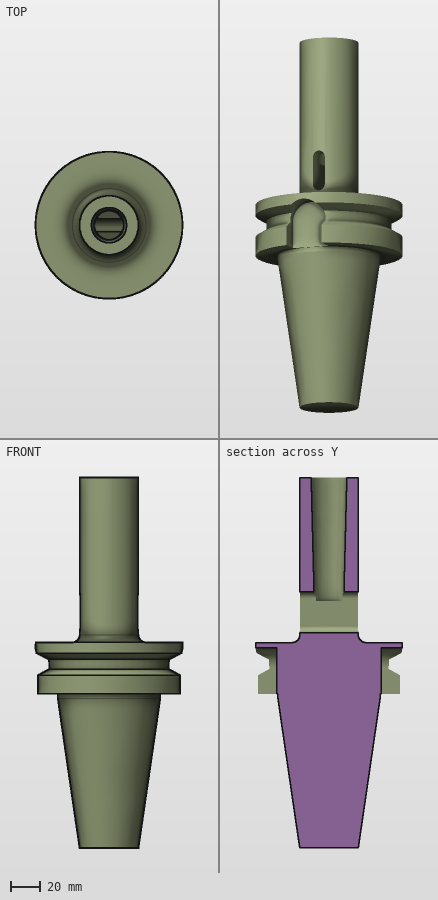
import cadquery as cq

total_height = 251.8
gauge_height = 101.7
flange_bottom = 104.7
flange_top = 139.7
groove_center = 125.0

gauge_radius = 69.7 / 2
taper_ratio = 7 / 24
small_end_radius = gauge_radius - gauge_height * taper_ratio / 2

flange_radius = 100.0 / 2
groove_radius = 42.5
groove_floor_width = 6.5
groove_mouth_width = 15.0

drive_slot_width = 25.7
drive_slot_top = 135.7
drive_slot_floor = 35.5

post_radius = 40.0 / 2
post_fillet = 5
socket_mouth_radius = 24.0 / 2
socket_depth = 84.0
socket_taper_ratio = 0.05
socket_floor_radius = socket_mouth_radius - socket_depth * socket_taper_ratio / 2
eject_slot_width = 8.5
eject_slot_bottom = 146.5
eject_slot_top = 174.0


def turned_body():
    """Shank, grooved flange and post revolved about Z."""
    profile = (
        cq.Workplane("XZ")
        .moveTo(0, 0)
        .lineTo(small_end_radius, 0)
        .lineTo(gauge_radius, gauge_height)
        .lineTo(gauge_radius, flange_bottom)
        .lineTo(flange_radius, flange_bottom)
        .lineTo(flange_radius, groove_center - groove_mouth_width / 2)
        .lineTo(groove_radius, groove_center - groove_floor_width / 2)
        .lineTo(groove_radius, groove_center + groove_floor_width / 2)
        .lineTo(flange_radius, groove_center + groove_mouth_width / 2)
        .lineTo(flange_radius, flange_top)
        .lineTo(post_radius + post_fillet, flange_top)
        .radiusArc((post_radius, flange_top + post_fillet), post_fillet)
        .lineTo(post_radius, total_height)
        .lineTo(0, total_height)
        .close()
    )
    return profile.revolve(360, (0, 0, 0), (0, 1, 0))


def socket():
    """Tapered bore that opens at the top of the post."""
    return (
        cq.Workplane("XY", origin=(0, 0, total_height))
        .circle(socket_mouth_radius)
        .workplane(offset=-socket_depth)
        .circle(socket_floor_radius)
        .loft(ruled=True)
    )


def eject_slot():
    """Upright round-ended slot through the post along X."""
    return (
        cq.Workplane("YZ")
        .center(0, (eject_slot_bottom + eject_slot_top) / 2)
        .slot2D(eject_slot_top - eject_slot_bottom, eject_slot_width, 90)
        .extrude(post_radius + post_fillet, both=True)
    )


def drive_slot(side):
    """Round-topped slot with a flat floor, open at the flange bottom; side is +1 or -1 along X."""
    half_width = drive_slot_width / 2
    arch_start = drive_slot_top - half_width
    return (
        cq.Workplane("YZ", origin=(side * drive_slot_floor, 0, 0))
        .moveTo(-half_width, flange_bottom)
        .lineTo(-half_width, arch_start)
        .threePointArc((0, drive_slot_top), (half_width, arch_start))
        .lineTo(half_width, flange_bottom)
        .close()
        .extrude(side * flange_radius)
    )


result = turned_body().cut(socket()).cut(eject_slot())
for side in (-1, 1):
    result = result.cut(drive_slot(side))